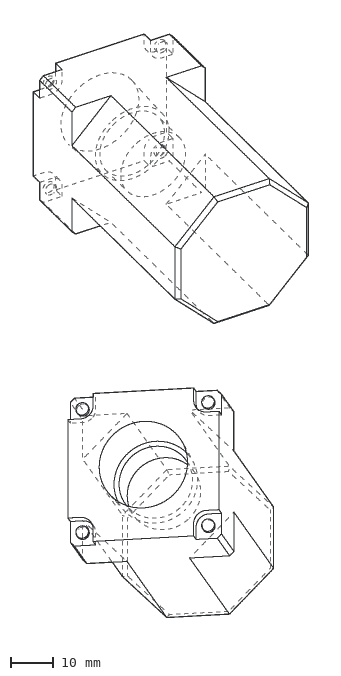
import cadquery as cq
import math

length = 67.0
width = 36.0
half_width = width / 2
head_length = 18.0
edge_chamfer = 1.0
shank_sides = 8
shank_half_angle = 180 / shank_sides

recess_size = 6.0
recess_depth = 3.0
recess_radius = recess_size / 2
pin_diameter = 3.0
pin_height = 1.0
pin_offset = half_width - recess_size / 2

socket_mouth_diameter = 21.05
socket_end_diameter = 19.9
socket_depth = 15.0
drill_diameter = 17.5
drill_depth = 24.8
drill_point_angle = 118.0


def make_head():
    """Square head with its four long edges chamfered."""
    block = cq.Workplane("YZ").rect(width, width).extrude(head_length)
    return block.edges("|X").chamfer(edge_chamfer)


def make_shank():
    """Regular octagon, flat sides flush with the head, chamfered at the far end."""
    corner_diameter = width / math.cos(math.radians(shank_half_angle))
    return (
        cq.Workplane("YZ", origin=(head_length, 0, 0))
        .transformed(rotate=(0, 0, shank_half_angle))
        .polygon(shank_sides, corner_diameter)
        .extrude(length - head_length)
        .faces(">X")
        .chamfer(edge_chamfer)
    )


def make_bore():
    """Revolved bore, with the profile drawn as distance along X and radius."""
    drill_radius = drill_diameter / 2
    point_length = drill_radius / math.tan(math.radians(drill_point_angle / 2))
    profile = [
        (0, 0),
        (0, socket_mouth_diameter / 2),
        (socket_depth, socket_end_diameter / 2),
        (socket_depth, drill_radius),
        (drill_depth, drill_radius),
        (drill_depth + point_length, 0),
    ]
    return cq.Workplane("XY").polyline(profile).close().revolve(360, (0, 0, 0), (1, 0, 0))


def make_recess(side_y, side_z):
    """Corner cutter, rounded on the edge nearest the bore; the pin is left standing."""
    cutter_size = 2 * recess_size
    centre = (side_y * half_width, side_z * half_width)
    pocket = (
        cq.Workplane("YZ")
        .center(*centre)
        .rect(cutter_size, cutter_size)
        .extrude(recess_depth)
        .edges("|X")
        .fillet(recess_radius)
    )
    pin = (
        cq.Workplane("YZ", origin=(recess_depth - pin_height, 0, 0))
        .center(side_y * pin_offset, side_z * pin_offset)
        .circle(pin_diameter / 2)
        .extrude(pin_height)
    )
    return pocket.cut(pin)


result = make_head().union(make_shank()).cut(make_bore())
for side_y in (-1, 1):
    for side_z in (-1, 1):
        result = result.cut(make_recess(side_y, side_z))